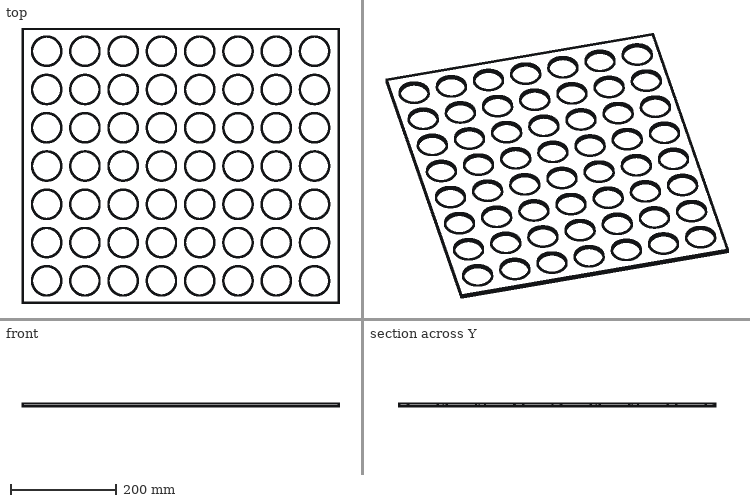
import cadquery as cq

length = 600.0
width = 520.0
thickness = 6.0

hole_diameter = 55.0
hole_pitch = 72.5
columns = 8
rows = 7

first_hole_from_left = 45.5
first_hole_from_front = 42.0


def hole_centers():
    first_x = -length / 2 + first_hole_from_left
    first_y = -width / 2 + first_hole_from_front
    return [
        (first_x + column * hole_pitch, first_y + row * hole_pitch)
        for row in range(rows)
        for column in range(columns)
    ]


plate = cq.Workplane("XY").box(length, width, thickness)

result = (
    plate.faces(">Z")
    .workplane()
    .pushPoints(hole_centers())
    .hole(hole_diameter)
)